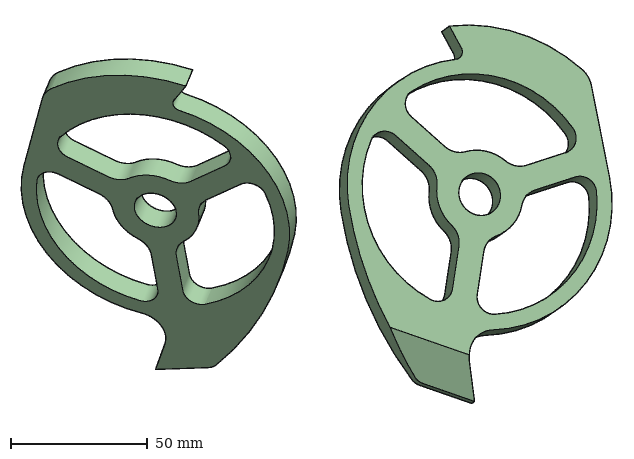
import cadquery as cq
import math

overall_width = 101.5
overall_height = 139.7
thickness = 9.5

rim_radius = overall_width / 2
crown_radius = 63.3
window_radius = 45.0
hub_radius = 16.5
bore_radius = 8.0

spoke_count = 3
spoke_width = 9.6
first_spoke_angle = 38.7
window_rim_fillet = 6.0
window_hub_fillet = 8.4

flank_tangent_angle = 168.4
crown_tip_x = 11.6
crown_hook_angle = 240.0
crown_corner_fillet = 10.0
crown_notch_fillet = 3.0

back_tangent_angle = -9.2
back_radius = 130.7
tooth_tip = (0.0, crown_radius - overall_height)
tooth_tilt = 15.0
tooth_corner_fillet = 6.0
tooth_notch_fillet = 10.0
bevel_length = 14.2
tip_thickness = 3.5


def polar(radius, angle):
    """Point at a radius and an angle in degrees about the bore axis."""
    return (radius * math.cos(math.radians(angle)), radius * math.sin(math.radians(angle)))


def angle_of(point, center=(0.0, 0.0)):
    """Direction in degrees from center to point."""
    return math.degrees(math.atan2(point[1] - center[1], point[0] - center[0]))


def ray_hits_circle(start, angle, radius, center=(0.0, 0.0), far=False):
    """Near or far point where a ray meets a circle."""
    direction_x, direction_z = polar(1.0, angle)
    offset_x = start[0] - center[0]
    offset_z = start[1] - center[1]
    along = offset_x * direction_x + offset_z * direction_z
    half_chord = math.sqrt(along**2 - offset_x**2 - offset_z**2 + radius**2)
    distance = -along + (half_chord if far else -half_chord)
    return (start[0] + distance * direction_x, start[1] + distance * direction_z)


def arc_middle(start_angle, end_angle, radius, center=(0.0, 0.0)):
    """Point halfway along an arc between two angles."""
    x, z = polar(radius, (start_angle + end_angle) / 2)
    return (center[0] + x, center[1] + z)


def fillet_corner(body, point, radius):
    """Round the thickness edge that stands on a point of the XZ profile."""
    selector = cq.selectors.NearestToPointSelector((point[0], 0, point[1]))
    return body.edges("|Y").edges(selector).fillet(radius)


def extrude_centered(profile):
    return profile.extrude(thickness / 2, both=True)


def make_blank():
    crown_tip = (crown_tip_x, math.sqrt(crown_radius**2 - crown_tip_x**2))
    crown_notch = ray_hits_circle(crown_tip, crown_hook_angle, rim_radius)
    flank_start = polar(rim_radius, flank_tangent_angle)
    flank_sweep = math.degrees(math.acos(rim_radius / crown_radius))
    crown_corner_angle = flank_tangent_angle - flank_sweep
    crown_corner = polar(crown_radius, crown_corner_angle)

    back_start = polar(rim_radius, back_tangent_angle)
    back_center = polar(rim_radius - back_radius, back_tangent_angle)
    tooth_corner = ray_hits_circle(tooth_tip, tooth_tilt, back_radius, back_center, far=True)
    tooth_corner_angle = angle_of(tooth_corner, back_center)
    tooth_notch = ray_hits_circle(tooth_tip, 90 - tooth_tilt, rim_radius)

    right_rim_middle = arc_middle(angle_of(crown_notch), back_tangent_angle, rim_radius)
    back_middle = arc_middle(back_tangent_angle, tooth_corner_angle, back_radius, back_center)
    left_rim_middle = arc_middle(angle_of(tooth_notch) + 360, flank_tangent_angle, rim_radius)
    crown_middle = arc_middle(crown_corner_angle, angle_of(crown_tip), crown_radius)

    outline = (
        cq.Workplane("XZ")
        .moveTo(*crown_tip)
        .lineTo(*crown_notch)
        .threePointArc(right_rim_middle, back_start)
        .threePointArc(back_middle, tooth_corner)
        .lineTo(*tooth_tip)
        .lineTo(*tooth_notch)
        .threePointArc(left_rim_middle, flank_start)
        .lineTo(*crown_corner)
        .threePointArc(crown_middle, crown_tip)
        .close()
    )
    blank = extrude_centered(outline)
    blank = fillet_corner(blank, crown_notch, crown_notch_fillet)
    blank = fillet_corner(blank, crown_corner, crown_corner_fillet)
    blank = fillet_corner(blank, tooth_corner, tooth_corner_fillet)
    return fillet_corner(blank, tooth_notch, tooth_notch_fillet)


def make_window(spoke_angle):
    """Opening between the spoke at the given angle and the next one."""
    next_angle = spoke_angle + 360 / spoke_count
    middle_angle = (spoke_angle + next_angle) / 2

    def spoke_side_points(radius):
        half_angle = math.degrees(math.asin(spoke_width / 2 / radius))
        return polar(radius, spoke_angle + half_angle), polar(radius, next_angle - half_angle)

    hub_start, hub_end = spoke_side_points(hub_radius)
    rim_start, rim_end = spoke_side_points(window_radius)
    outline = (
        cq.Workplane("XZ")
        .moveTo(*hub_start)
        .lineTo(*rim_start)
        .threePointArc(polar(window_radius, middle_angle), rim_end)
        .lineTo(*hub_end)
        .threePointArc(polar(hub_radius, middle_angle), hub_start)
        .close()
    )
    window = extrude_centered(outline)
    for corner in (rim_start, rim_end):
        window = fillet_corner(window, corner, window_rim_fillet)
    for corner in (hub_start, hub_end):
        window = fillet_corner(window, corner, window_hub_fillet)
    return window


def make_bevel_cutter():
    """Wedge that thins the tooth from its +Y face toward the cutting edge."""
    cutter_length = 2 * overall_width
    back_face = thickness / 2
    edge_face = tip_thickness - thickness / 2
    overshoot = 0.7
    slope = (back_face - edge_face) / bevel_length
    wedge = (
        cq.Workplane("YZ")
        .polyline(
            [
                (back_face, bevel_length),
                (edge_face - overshoot * slope, -overshoot),
                (back_face, -overshoot),
            ]
        )
        .close()
        .extrude(cutter_length / 2, both=True)
    )
    tilted = wedge.rotate((0, 0, 0), (0, 1, 0), -tooth_tilt)
    return tilted.translate((tooth_tip[0], 0, tooth_tip[1]))


result = make_blank()
for index in range(spoke_count):
    result = result.cut(make_window(first_spoke_angle + index * 360 / spoke_count))
result = result.cut(extrude_centered(cq.Workplane("XZ").circle(bore_radius)))
result = result.cut(make_bevel_cutter())